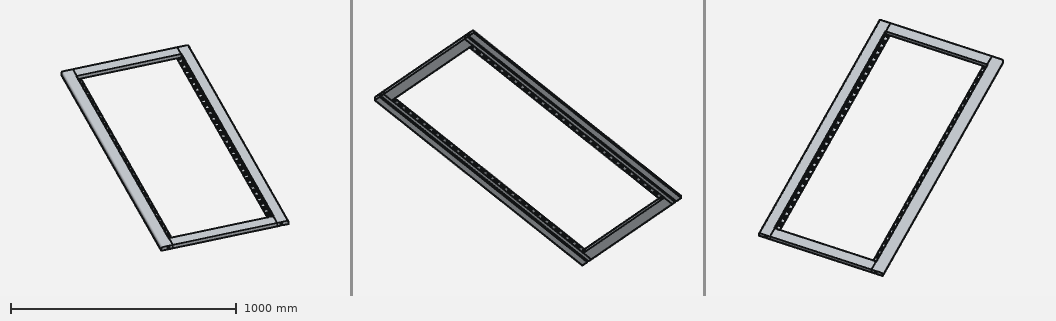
import cadquery as cq

LENGTH = 1355
WIDTH = 598.0
HEIGHT = 20.0

RAIL_WIDTH = 54.0
OUTER_FILLET = 10.0
INNER_CHAMFER = 2.0

END_RAIL_WIDTH = 53.0

GROOVE_START = 30.0
GROOVE_WIDTH = 7.0
GROOVE_DEPTH = 14.0
HOOK_LENGTH = 3.0
HOOK_HEIGHT = 4.7

LIP_THICKNESS = 1.0
ROOT_WIDTH = 7.3
HOLE_SIZE = 9.0
RIM_WIDTH = 3.4
HOLE_GAP = 3.8
PITCH_COUNT = 28

OPENING_LENGTH = LENGTH - 2 * END_RAIL_WIDTH
OUTER_Y = WIDTH / 2
INNER_Y = OUTER_Y - RAIL_WIDTH
LIP_WIDTH = ROOT_WIDTH + HOLE_SIZE + RIM_WIDTH
LIP_EDGE_Y = INNER_Y - LIP_WIDTH


def make_beam():
    """Solid bar along the back edge, rounded along its outer top edge."""
    beam = (
        cq.Workplane("XY")
        .box(LENGTH, RAIL_WIDTH, HEIGHT, centered=(True, False, False))
        .translate((0, INNER_Y, 0))
    )
    return beam.edges("|X and >Z and >Y").fillet(OUTER_FILLET)


def make_groove():
    """L-shaped groove along the full rail, open at the bottom and hooked inward at its top."""
    wall_y = OUTER_Y - GROOVE_START
    ledge_y = wall_y - GROOVE_WIDTH
    hook_y = ledge_y - HOOK_LENGTH
    ledge_z = GROOVE_DEPTH - HOOK_HEIGHT
    profile = [
        (wall_y, 0),
        (wall_y, GROOVE_DEPTH),
        (hook_y, GROOVE_DEPTH),
        (hook_y, ledge_z),
        (ledge_y, ledge_z),
        (ledge_y, 0),
    ]
    return cq.Workplane("YZ").polyline(profile).close().extrude(LENGTH / 2, both=True)


def make_inner_chamfer():
    """Wedge that bevels the inner top edge between the end rails."""
    wedge = [
        (INNER_Y, HEIGHT),
        (INNER_Y + INNER_CHAMFER, HEIGHT),
        (INNER_Y, HEIGHT - INNER_CHAMFER),
    ]
    return cq.Workplane("YZ").polyline(wedge).close().extrude(OPENING_LENGTH / 2, both=True)


def hole_centers():
    """X positions of the lip holes, one on each side of every narrow web."""
    first_web_x = -(OPENING_LENGTH - HOLE_GAP) / 2
    pitch = (OPENING_LENGTH - HOLE_GAP) / PITCH_COUNT
    offset = (HOLE_GAP + HOLE_SIZE) / 2
    centers = []
    for web in range(PITCH_COUNT + 1):
        web_x = first_web_x + web * pitch
        if web > 0:
            centers.append(web_x - offset)
        if web < PITCH_COUNT:
            centers.append(web_x + offset)
    return centers


def make_lip():
    """Thin strip with square holes that projects into the opening."""
    strip = (
        cq.Workplane("XY")
        .box(OPENING_LENGTH, LIP_WIDTH, LIP_THICKNESS, centered=(True, False, False))
        .translate((0, LIP_EDGE_Y, 0))
    )
    hole_y = LIP_EDGE_Y + RIM_WIDTH + HOLE_SIZE / 2
    holes = (
        cq.Workplane("XY")
        .pushPoints([(x, hole_y) for x in hole_centers()])
        .rect(HOLE_SIZE, HOLE_SIZE)
        .extrude(LIP_THICKNESS)
    )
    return strip.cut(holes)


def make_long_rail():
    """Grooved beam and perforated lip as one solid, along the back (+Y) edge."""
    return make_beam().cut(make_groove()).cut(make_inner_chamfer()).union(make_lip())


def make_end_rail(side):
    """Plain bar between the long rails at the -X (side = -1) or +X (side = 1) end."""
    center_x = side * (LENGTH - END_RAIL_WIDTH) / 2
    return (
        cq.Workplane("XY")
        .box(END_RAIL_WIDTH, 2 * INNER_Y, HEIGHT, centered=(True, True, False))
        .translate((center_x, 0, 0))
    )


back_rail = make_long_rail()
front_rail = back_rail.mirror("XZ")
end_rails = [make_end_rail(side) for side in (-1, 1)]

result = cq.Compound.makeCompound(
    [back_rail.val(), front_rail.val(), *[rail.val() for rail in end_rails]]
)